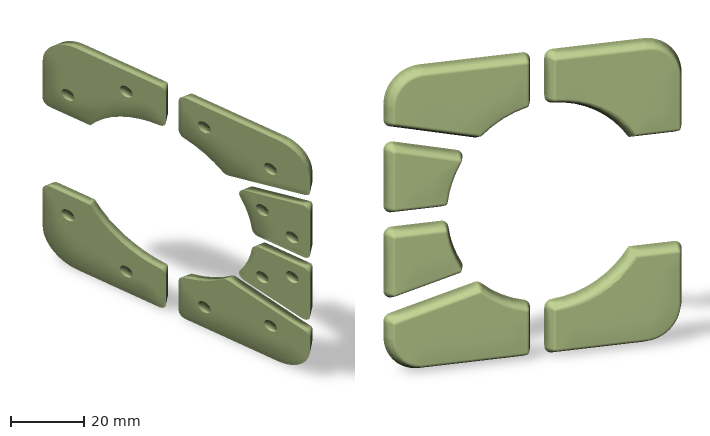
import cadquery as cq
import math

WIDTH = 86.4
HEIGHT = 88.4
THICKNESS = 4.0
RIGHT_X = WIDTH / 2
LEFT_X = -RIGHT_X
TOP_Z = HEIGHT / 2
FRONT_Y = -THICKNESS / 2

GAP = 4.15
SPLIT_X = -1.3
LEFT_PLATE_FOOT = 15.9
SLOPE = 0.25
SLANT_HEIGHT = 14.7

LEFT_INNER_X = SPLIT_X - GAP / 2
RIGHT_INNER_X = SPLIT_X + GAP / 2
SIDE_PLATE_FOOT = GAP / 2
HALF_SLANTED_GAP = GAP / 2 * math.hypot(1, SLOPE)
SLANT_ABOVE = SLANT_HEIGHT + HALF_SLANTED_GAP
SLANT_BELOW = SLANT_HEIGHT - HALF_SLANTED_GAP

OPENING_X = -4.0
OPENING_RADIUS = 28.6

LEFT_OUTER_RADIUS = 11.2
RIGHT_OUTER_RADIUS = 10.3
CORNER_RADIUS = 2.2
DRAFT_ANGLE = 22.5
BACK_RIM_RADIUS = 1.0

HOLE_DIAMETER = 4.15
HOLE_DEPTH = 2.0
LEFT_HOLES = [(-16.2, 36.0), (-35.0, 24.05)]
RIGHT_HOLES = [(9.0, 36.0), (30.4, 31.4)]
SIDE_HOLES = [(27.8, 13.4), (37.4, 8.0)]


def slant_z(x, height):
    """Z at x of a line parallel to the slanted gap that crosses X = 0 at the given height."""
    return height + SLOPE * x


def opening_z(x):
    """Z at x of the upper half of the opening."""
    return math.sqrt(OPENING_RADIUS**2 - (x - OPENING_X) ** 2)


def opening_x(z):
    """X at z of the right half of the opening."""
    return OPENING_X + math.sqrt(OPENING_RADIUS**2 - z**2)


def opening_meets_slant(height):
    """Point right of the opening's centre where a slanted line crosses the opening."""
    a = 1 + SLOPE**2
    half_b = SLOPE * height - OPENING_X
    c = OPENING_X**2 + height**2 - OPENING_RADIUS**2
    x = (-half_b + math.sqrt(half_b**2 - a * c)) / a
    return (x, slant_z(x, height))


def plate(border, rounded_corners, holes):
    """Plate cut by the opening, narrowing towards +Y, with holes in its front face.

    rounded_corners lists each corner point with its radius.
    """
    outline = (
        cq.Sketch()
        .polygon([*border, border[0]])
        .push([(OPENING_X, 0)])
        .circle(OPENING_RADIUS, mode="s")
        .reset()
    )
    for (x, z), radius in rounded_corners:
        corner = cq.selectors.NearestToPointSelector((x, z, 0))
        outline = outline.vertices(corner).fillet(radius).reset()

    front = cq.Workplane("XZ", origin=(0, FRONT_Y, 0))
    body = front.placeSketch(outline).extrude(-THICKNESS, taper=DRAFT_ANGLE)
    body = body.faces(">Y").edges().fillet(BACK_RIM_RADIUS)
    hole_tools = front.pushPoints(holes).circle(HOLE_DIAMETER / 2).extrude(-HOLE_DEPTH)
    return body.cut(hole_tools)


def left_plate():
    """Corner plate at the upper left; its foot meets the opening in a sharp corner."""
    outer_top = (LEFT_X, TOP_Z)
    inner_top = (LEFT_INNER_X, TOP_Z)
    inner_foot = (LEFT_INNER_X, LEFT_PLATE_FOOT)
    outer_foot = (LEFT_X, LEFT_PLATE_FOOT)
    rounded_corners = [
        (outer_top, LEFT_OUTER_RADIUS),
        (inner_top, CORNER_RADIUS),
        ((LEFT_INNER_X, opening_z(LEFT_INNER_X)), CORNER_RADIUS),
        (outer_foot, CORNER_RADIUS),
    ]
    return plate([outer_top, inner_top, inner_foot, outer_foot], rounded_corners, LEFT_HOLES)


def right_plate():
    """Corner plate at the upper right, above the slanted gap."""
    inner_top = (RIGHT_INNER_X, TOP_Z)
    outer_top = (RIGHT_X, TOP_Z)
    outer_foot = (RIGHT_X, slant_z(RIGHT_X, SLANT_ABOVE))
    inner_foot = (RIGHT_INNER_X, slant_z(RIGHT_INNER_X, SLANT_ABOVE))
    rounded_corners = [
        (inner_top, CORNER_RADIUS),
        (outer_top, RIGHT_OUTER_RADIUS),
        (outer_foot, CORNER_RADIUS),
        (opening_meets_slant(SLANT_ABOVE), CORNER_RADIUS),
        ((RIGHT_INNER_X, opening_z(RIGHT_INNER_X)), CORNER_RADIUS),
    ]
    return plate([inner_top, outer_top, outer_foot, inner_foot], rounded_corners, RIGHT_HOLES)


def side_plate():
    """Small plate on the right, below the slanted gap."""
    inner_top = (OPENING_X, slant_z(OPENING_X, SLANT_BELOW))
    outer_top = (RIGHT_X, slant_z(RIGHT_X, SLANT_BELOW))
    outer_foot = (RIGHT_X, SIDE_PLATE_FOOT)
    inner_foot = (OPENING_X, SIDE_PLATE_FOOT)
    rounded_corners = [
        (opening_meets_slant(SLANT_BELOW), CORNER_RADIUS),
        (outer_top, CORNER_RADIUS),
        (outer_foot, CORNER_RADIUS),
        ((opening_x(SIDE_PLATE_FOOT), SIDE_PLATE_FOOT), CORNER_RADIUS),
    ]
    return plate([inner_top, outer_top, outer_foot, inner_foot], rounded_corners, SIDE_HOLES)


bodies = []
for upper_plate in [left_plate(), right_plate(), side_plate()]:
    lower_plate = upper_plate.mirror("XY")
    bodies += [upper_plate.val(), lower_plate.val()]

result = cq.Compound.makeCompound(bodies)